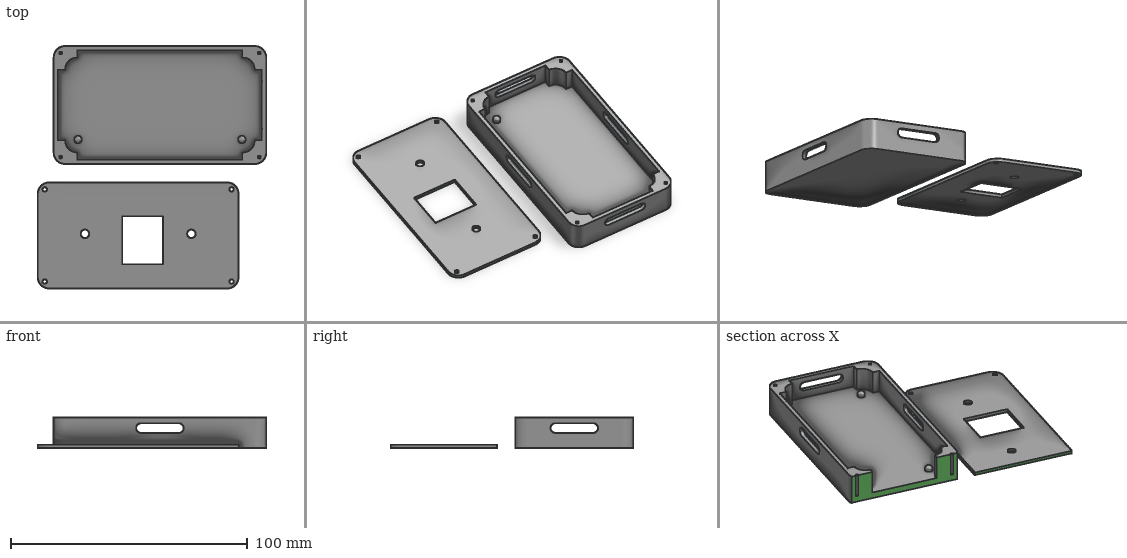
import cadquery as cq

box_length = 90.0
box_width = 50.0
box_height = 13.0
corner_radius = 5.0
wall = 1.9
floor = 3.0

block_size = 10.1
relief_radius = 5.2
box_screw_inset = 3.0
screw_bore_diameter = 0.97
screw_bore_depth = box_height - floor
screw_lead_in_diameter = 1.25
screw_lead_in_depth = 0.5

slot_length = 20.0
slot_height = 4.0
slot_center_z = 8.5

peg_diameter = 3.2
peg_height = 2.0
peg_top_radius = 1.0
peg_spacing = 69.3
peg_from_front = 10.4

cover_length = 85.0
cover_width = 45.0
cover_thickness = 1.5
overall_length = 96.7
overall_width = 102.65
cover_x = box_length / 2 - overall_length + cover_length / 2
cover_y = box_width / 2 - overall_width + cover_width / 2
cover_screw_inset = 3.0
cover_screw_diameter = 1.8

button_diameter = 3.5
button_xs = (20.0, 65.0)
button_y = 23.2
window_length = 17.2
window_width = 20.2
window_x = 44.4
window_y = 20.5


def rounded_plate(length, width, height):
    """Plate with rounded vertical corners, standing on Z = 0."""
    block = cq.Workplane("XY").box(length, width, height, centered=(True, True, False))
    return block.edges("|Z").fillet(corner_radius)


def corner_points(length, width, inset):
    """Four points set in from the corners of a centred rectangle."""
    x = length / 2 - inset
    y = width / 2 - inset
    return [(-x, -y), (-x, y), (x, -y), (x, y)]


def make_cavity():
    """Cross-shaped space between the corner blocks, widened by the round reliefs."""
    depth = box_height - floor
    base = cq.Workplane("XY", origin=(0, 0, floor))
    long_arm = base.rect(box_length - 2 * wall, box_width - 2 * block_size).extrude(depth)
    cross_arm = base.rect(box_length - 2 * block_size, box_width - 2 * wall).extrude(depth)
    relief_points = corner_points(box_length, box_width, block_size)
    reliefs = base.pushPoints(relief_points).circle(relief_radius).extrude(depth)
    return long_arm.union(cross_arm).union(reliefs)


def make_slot_cutter(plane, through):
    """Round-ended bar, centred on the box, that cuts a slot through two opposite walls."""
    return (
        cq.Workplane(plane, origin=(0, 0, slot_center_z))
        .slot2D(slot_length, slot_height)
        .extrude(through / 2, both=True)
    )


def make_screw_cutters(diameter, depth):
    """Round cutters going down from the box rim at its four corners."""
    return (
        cq.Workplane("XY", origin=(0, 0, box_height))
        .pushPoints(corner_points(box_length, box_width, box_screw_inset))
        .circle(diameter / 2)
        .extrude(-depth)
    )


def make_peg(x):
    """Round post whose rounded top edge leaves a small flat tip."""
    return (
        cq.Workplane("XY", origin=(x, peg_from_front - box_width / 2, floor))
        .circle(peg_diameter / 2)
        .extrude(peg_height)
        .faces(">Z")
        .edges()
        .fillet(peg_top_radius)
    )


def make_box():
    """Tray with corner blocks, wall slots, stepped screw holes and two pegs."""
    body = rounded_plate(box_length, box_width, box_height).cut(make_cavity())
    body = body.cut(make_slot_cutter("XZ", box_width))
    body = body.cut(make_slot_cutter("YZ", box_length))
    body = body.cut(make_screw_cutters(screw_bore_diameter, screw_bore_depth))
    body = body.cut(make_screw_cutters(screw_lead_in_diameter, screw_lead_in_depth))
    for x in (-peg_spacing / 2, peg_spacing / 2):
        body = body.union(make_peg(x))
    return body


def make_round_holes(points, diameter):
    """Round cutters through the full thickness of the cover."""
    return cq.Workplane("XY").pushPoints(points).circle(diameter / 2).extrude(cover_thickness)


def make_cover():
    """Flat plate with corner screw holes, two button holes and a rectangular window."""
    left = -cover_length / 2
    front = -cover_width / 2
    screw_points = corner_points(cover_length, cover_width, cover_screw_inset)
    button_points = [(left + x, front + button_y) for x in button_xs]
    window = (
        cq.Workplane("XY")
        .center(left + window_x, front + window_y)
        .rect(window_length, window_width)
        .extrude(cover_thickness)
    )
    plate = rounded_plate(cover_length, cover_width, cover_thickness)
    plate = plate.cut(make_round_holes(screw_points, cover_screw_diameter))
    plate = plate.cut(make_round_holes(button_points, button_diameter))
    plate = plate.cut(window)
    return plate.translate((cover_x, cover_y, 0))


box = make_box()
cover = make_cover()
result = cq.Compound.makeCompound([box.val(), cover.val()])